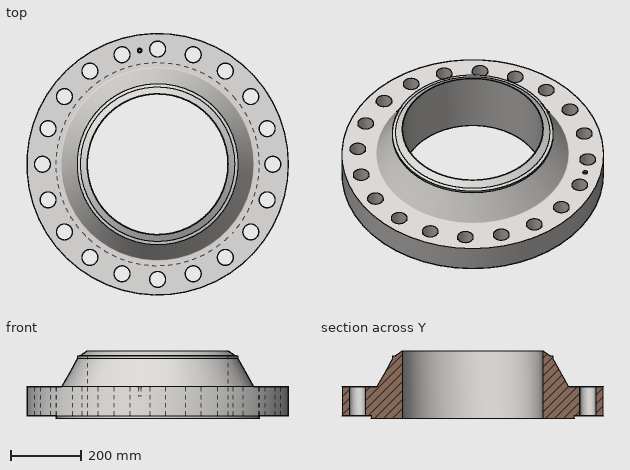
import cadquery as cq
import math

FLANGE_DIAMETER = 743.0
FLANGE_THICKNESS = 82.5
TOTAL_HEIGHT = 192.0
BORE_DIAMETER = 398.0

RAISED_FACE_DIAMETER = 577.0
RAISED_FACE_HEIGHT = 8.0

HUB_BASE_DIAMETER = 546.0
HUB_TOP_DIAMETER = 457.0
HUB_ROOT_FILLET = 3.0
HUB_COLLAR_HEIGHT = 7.0

BEVEL_BASE_DIAMETER = 438.0
BEVEL_ANGLE = 35
SHOULDER_RISE = 2.0
LAND_WIDTH = 1.5

BOLT_COUNT = 20
BOLT_CIRCLE_DIAMETER = 653.5
BOLT_HOLE_DIAMETER = 44.5

SMALL_HOLE_DIAMETER = 7.5
SMALL_HOLE_DEPTH = 27.0
SMALL_HOLE_MOUTH_DIAMETER = 13.0

bore_radius = BORE_DIAMETER / 2
land_radius = bore_radius + LAND_WIDTH
bevel_radius = BEVEL_BASE_DIAMETER / 2
hub_top_radius = HUB_TOP_DIAMETER / 2
hub_base_radius = HUB_BASE_DIAMETER / 2
flange_radius = FLANGE_DIAMETER / 2
raised_face_radius = RAISED_FACE_DIAMETER / 2

flange_top = RAISED_FACE_HEIGHT + FLANGE_THICKNESS
bevel_bottom = TOTAL_HEIGHT - (bevel_radius - land_radius) * math.tan(math.radians(BEVEL_ANGLE))
collar_top = bevel_bottom - SHOULDER_RISE
cone_top = collar_top - HUB_COLLAR_HEIGHT

bolt_spacing = 360 / BOLT_COUNT


def make_body():
    """Revolve the ring section of flange, hub and weld end about Z."""
    section = [
        (bore_radius, 0),
        (raised_face_radius, 0),
        (raised_face_radius, RAISED_FACE_HEIGHT),
        (flange_radius, RAISED_FACE_HEIGHT),
        (flange_radius, flange_top),
        (hub_base_radius, flange_top),
        (hub_top_radius, cone_top),
        (hub_top_radius, collar_top),
        (bevel_radius, bevel_bottom),
        (land_radius, TOTAL_HEIGHT),
        (bore_radius, TOTAL_HEIGHT),
    ]
    return cq.Workplane("XZ").polyline(section).close().revolve(360, (0, 0, 0), (0, 1, 0))


def round_hub_root(body):
    """Fillet the circle where the hub cone meets the flange."""
    reach = hub_base_radius + HUB_ROOT_FILLET
    half_band = HUB_ROOT_FILLET / 2
    root = cq.selectors.BoxSelector(
        (-reach, -reach, flange_top - half_band),
        (reach, reach, flange_top + half_band),
        boundingbox=True,
    )
    return body.edges(root).fillet(HUB_ROOT_FILLET)


def make_bolt_holes():
    """Ring of through holes in the flange."""
    return (
        cq.Workplane("XY")
        .polarArray(BOLT_CIRCLE_DIAMETER / 2, 0, 360, BOLT_COUNT)
        .circle(BOLT_HOLE_DIAMETER / 2)
        .extrude(flange_top)
    )


def make_small_hole():
    """Blind hole with a 45 degree countersink, midway between two bolt holes."""
    angle = math.radians(90 + bolt_spacing / 2)
    x = BOLT_CIRCLE_DIAMETER / 2 * math.cos(angle)
    y = BOLT_CIRCLE_DIAMETER / 2 * math.sin(angle)
    hole_radius = SMALL_HOLE_DIAMETER / 2
    mouth_radius = SMALL_HOLE_MOUTH_DIAMETER / 2
    sink_depth = mouth_radius - hole_radius
    section = [
        (0, 0),
        (mouth_radius, 0),
        (hole_radius, -sink_depth),
        (hole_radius, -SMALL_HOLE_DEPTH),
        (0, -SMALL_HOLE_DEPTH),
    ]
    hole = cq.Workplane("XZ").polyline(section).close().revolve(360, (0, 0, 0), (0, 1, 0))
    return hole.translate((x, y, flange_top))


result = round_hub_root(make_body()).cut(make_bolt_holes()).cut(make_small_hole())